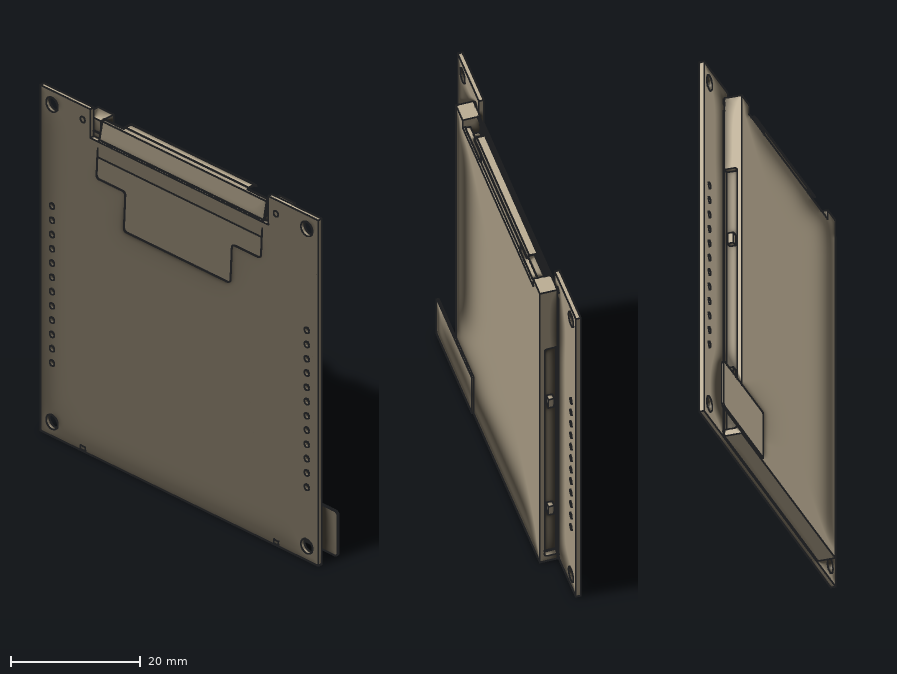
import cadquery as cq
import math


BOARD_WIDTH = 60.0
BOARD_HEIGHT = 61.5
BOARD_THICKNESS = 0.8
NOTCH_WIDTH = 38.4
NOTCH_DEPTH = 5.1
MOUNT_HOLE_DIAMETER = 2.5
MOUNT_HOLE_INSET = 2.5
PIN_HOLE_DIAMETER = 1.0
PIN_HOLE_COUNT = 12
PIN_HOLE_PITCH = 2.54
PIN_HOLE_INSET = 2.5
LOWEST_PIN_Z = 13.0
PEG_SPACING = 41.7
PEG_DIAMETER = 1.0
UPPER_PEG_Z = 59.0
LOWER_PEG_HEIGHT = 0.65
LOWER_PEG_Z = 0.55

ADHESIVE_THICKNESS = 0.2
ADHESIVE_TOP_Z = 57.3

HOUSING_WIDTH = 42.6
HOUSING_HEIGHT = 59.5
HOUSING_INNER_Y = BOARD_THICKNESS + ADHESIVE_THICKNESS
HOUSING_OUTER_Y = 3.85
TOP_GAP_WIDTH = 35.8
BEZEL_THICKNESS = 0.4
BEZEL_TOP_Z = 57.9
SIDE_WALL = 1.0
SIDE_OPENING_BOTTOM_Z = 1.1
SIDE_OPENING_TOP_Z = 46.9
SIDE_OPENING_OUTER_Y = 3.1
SIDE_OPENING_RADIUS = 0.5

PANEL_OUTER_Y = HOUSING_OUTER_Y - BEZEL_THICKNESS
PANEL_WIDTH = HOUSING_WIDTH - 2 * SIDE_WALL
PANEL_BOTTOM_Z = 1.35
PANEL_TOP_Z = 56.0
LEDGE_WIDTH = 33.4
LEDGE_INNER_Y = 1.45
LEDGE_TOP_Z = 57.3
GLASS_INNER_Y = 2.6
GLASS_TOP_Z = 57.7
LATCH_Y = 2.0
LATCH_THICKNESS = 0.95
LATCH_HEIGHT = 1.8
LATCH_ZS = (11.0, 34.7)

FLEX_THICKNESS = 0.12
FLEX_WIDTH = 35.5
FLEX_TAIL_WIDTH = 23.0
FLEX_STRIP_WIDTH = 26.7
FLEX_TONGUE_WIDTH = 20.0
FLEX_TIP_Y = -0.54
FLEX_TIP_Z = 43.1
FLEX_SHOULDER_Z = 49.9
FLEX_CORNER_RADIUS = 0.6
FLEX_BEND_Y = 0.04
FLEX_BEND_Z = 54.4
FLEX_RIM_Y = 1.1
FLEX_RIM_Z = 59.5
FLEX_WIDE_TOP_Z = 59.75
FLEX_CREST_FRONT_Y = 1.65
FLEX_CREST_REAR_Y = 3.05
FLEX_CREST_Z = 60.0
FLEX_DROP_Y = 3.45
FLEX_DROP_Z = 59.5

FILM_THICKNESS = 0.3
FILM_LEFT_X = 12.3
FILM_RIGHT_X = 30.36
FILM_BOTTOM_Z = 0.2
FILM_TOP_Z = 8.1
FILM_CORNER_RADIUS = 0.6


def block(width, start_y, end_y, bottom_z, top_z, center_x=0.0):
    """A plain block centred on center_x, between two Y planes and two Z planes."""
    size = (width, end_y - start_y, top_z - bottom_z)
    position = (center_x, start_y, bottom_z)
    return cq.Workplane("XY").box(*size, centered=(True, False, False)).translate(position)


def rod_along_y(x, z, diameter, start_y, end_y):
    """A round rod along Y."""
    start = cq.Vector(x, start_y, z)
    direction = cq.Vector(0, 1, 0)
    return cq.Workplane(cq.Solid.makeCylinder(diameter / 2, end_y - start_y, start, direction))


def make_pegs():
    """Four locating pegs: round ones near the top, flat ones at the bottom."""
    pegs = []
    for x in (-PEG_SPACING / 2, PEG_SPACING / 2):
        pegs.append(rod_along_y(x, UPPER_PEG_Z, PEG_DIAMETER, 0, HOUSING_INNER_Y))
        lower_bottom = LOWER_PEG_Z - LOWER_PEG_HEIGHT / 2
        lower_top = LOWER_PEG_Z + LOWER_PEG_HEIGHT / 2
        pegs.append(block(PEG_DIAMETER, 0, HOUSING_INNER_Y, lower_bottom, lower_top, x))
    return pegs


def outline_of_flex():
    """The flat outline of the flexible circuit, seen along Y, as a block that covers its whole depth."""
    right_half = [
        (FLEX_TAIL_WIDTH / 2, FLEX_TIP_Z),
        (FLEX_TAIL_WIDTH / 2, FLEX_SHOULDER_Z),
        (FLEX_WIDTH / 2, FLEX_SHOULDER_Z),
        (FLEX_WIDTH / 2, FLEX_WIDE_TOP_Z),
        (FLEX_STRIP_WIDTH / 2, FLEX_WIDE_TOP_Z),
        (FLEX_STRIP_WIDTH / 2, FLEX_CREST_Z),
    ]
    left_half = [(-x, z) for x, z in reversed(right_half)]
    rear_plane = cq.Workplane("XZ", origin=(0, FLEX_CREST_REAR_Y, 0))
    outline = rear_plane.polyline(right_half + left_half).close().extrude(FLEX_CREST_REAR_Y - FLEX_TIP_Y)
    lower_corners = cq.selectors.BoxSelector(
        (-FLEX_WIDTH, FLEX_TIP_Y, FLEX_TIP_Z - FLEX_CORNER_RADIUS),
        (FLEX_WIDTH, FLEX_CREST_REAR_Y, FLEX_SHOULDER_Z + FLEX_CORNER_RADIUS),
    )
    return outline.edges("|Y").edges(lower_corners).fillet(FLEX_CORNER_RADIUS)


def thickened(path, thickness):
    """A closed band: the path and its copy shifted to the right of its direction, with mitred corners."""
    normals = []
    for (y0, z0), (y1, z1) in zip(path, path[1:]):
        length = math.hypot(y1 - y0, z1 - z0)
        normals.append(((z1 - z0) / length, (y0 - y1) / length))
    shifted = []
    for (y, z), before, after in zip(path, normals[:1] + normals, normals + normals[-1:]):
        mitre = thickness / (1 + before[0] * after[0] + before[1] * after[1])
        shifted.append((y + mitre * (before[0] + after[0]), z + mitre * (before[1] + after[1])))
    return path + shifted[::-1]


def make_flex():
    """The folded flexible circuit: tail on the front, lean through the notch, crest and drop to the glass."""
    path = [
        (FLEX_TIP_Y, FLEX_TIP_Z),
        (FLEX_BEND_Y, FLEX_BEND_Z),
        (FLEX_RIM_Y, FLEX_RIM_Z),
        (FLEX_CREST_FRONT_Y, FLEX_CREST_Z),
        (FLEX_CREST_REAR_Y, FLEX_CREST_Z),
        (FLEX_DROP_Y, FLEX_DROP_Z),
        (FLEX_DROP_Y, GLASS_TOP_Z),
    ]
    profile = cq.Workplane("YZ").polyline(thickened(path, FLEX_THICKNESS)).close()
    sheet = profile.extrude(FLEX_WIDTH / 2, both=True)
    front_part = sheet.intersect(outline_of_flex())
    rear_slope = block(FLEX_STRIP_WIDTH, FLEX_CREST_REAR_Y, PANEL_OUTER_Y, FLEX_DROP_Z, FLEX_CREST_Z)
    tongue = block(FLEX_TONGUE_WIDTH, FLEX_CREST_REAR_Y, PANEL_OUTER_Y, GLASS_TOP_Z, FLEX_DROP_Z)
    return front_part.union(rear_slope.union(tongue).intersect(sheet))


def make_board(flex, pegs):
    """The circuit board, with its notch and holes, and a slit where the flexible circuit passes."""
    half_width = BOARD_WIDTH / 2
    board = block(BOARD_WIDTH, 0, BOARD_THICKNESS, 0, BOARD_HEIGHT)
    board = board.cut(block(NOTCH_WIDTH, 0, BOARD_THICKNESS, BOARD_HEIGHT - NOTCH_DEPTH, BOARD_HEIGHT))
    mount_x = half_width - MOUNT_HOLE_INSET
    pin_x = half_width - PIN_HOLE_INSET
    for side in (-1, 1):
        for z in (MOUNT_HOLE_INSET, BOARD_HEIGHT - MOUNT_HOLE_INSET):
            board = board.cut(rod_along_y(side * mount_x, z, MOUNT_HOLE_DIAMETER, 0, BOARD_THICKNESS))
        for i in range(PIN_HOLE_COUNT):
            z = LOWEST_PIN_Z + i * PIN_HOLE_PITCH
            board = board.cut(rod_along_y(side * pin_x, z, PIN_HOLE_DIAMETER, 0, BOARD_THICKNESS))
    for peg in pegs:
        board = board.cut(peg)
    return board.cut(flex)


def make_adhesive(pegs):
    """The adhesive layer, open where the flexible circuit passes and pierced by the pegs."""
    adhesive = block(HOUSING_WIDTH, BOARD_THICKNESS, HOUSING_INNER_Y, 0, ADHESIVE_TOP_Z)
    flex_gap = block(TOP_GAP_WIDTH, BOARD_THICKNESS, HOUSING_INNER_Y, PANEL_TOP_Z, ADHESIVE_TOP_Z)
    adhesive = adhesive.cut(flex_gap)
    for peg in pegs:
        adhesive = adhesive.cut(peg)
    return adhesive


def make_panel():
    """The display panel: a body, a narrower ledge and glass that stand up between the housing's posts."""
    panel = block(PANEL_WIDTH, HOUSING_INNER_Y, PANEL_OUTER_Y, PANEL_BOTTOM_Z, PANEL_TOP_Z)
    panel = panel.union(block(LEDGE_WIDTH, LEDGE_INNER_Y, GLASS_INNER_Y, PANEL_TOP_Z, LEDGE_TOP_Z))
    panel = panel.union(block(TOP_GAP_WIDTH, GLASS_INNER_Y, PANEL_OUTER_Y, PANEL_TOP_Z, GLASS_TOP_Z))
    for side in (-1, 1):
        latch_x = side * (PANEL_WIDTH + SIDE_WALL) / 2
        for z in LATCH_ZS:
            latch = block(SIDE_WALL, LATCH_Y - LATCH_THICKNESS / 2, LATCH_Y + LATCH_THICKNESS / 2,
                          z - LATCH_HEIGHT / 2, z + LATCH_HEIGHT / 2, latch_x)
            panel = panel.union(latch)
    return panel


def make_housing(panel, pegs):
    """The housing: a frame with an outer bezel, two top posts, side openings and locating pegs."""
    housing = block(HOUSING_WIDTH, HOUSING_INNER_Y, HOUSING_OUTER_Y, 0, HOUSING_HEIGHT)
    rear_gap = block(TOP_GAP_WIDTH, HOUSING_INNER_Y, PANEL_OUTER_Y, PANEL_TOP_Z, HOUSING_HEIGHT)
    bezel_gap = block(TOP_GAP_WIDTH, PANEL_OUTER_Y, HOUSING_OUTER_Y, BEZEL_TOP_Z, HOUSING_HEIGHT)
    housing = housing.cut(rear_gap).cut(bezel_gap)
    opening_x = (PANEL_WIDTH + SIDE_WALL) / 2
    for side in (-1, 1):
        opening = block(SIDE_WALL, HOUSING_INNER_Y, SIDE_OPENING_OUTER_Y,
                        SIDE_OPENING_BOTTOM_Z, SIDE_OPENING_TOP_Z, side * opening_x)
        housing = housing.cut(opening.edges("|X and >Y").fillet(SIDE_OPENING_RADIUS))
    for peg in pegs:
        housing = housing.union(peg)
    return housing.cut(panel)


def make_film():
    """The pull tab of the protective film, on the housing's outer (+Y) face and past the board's side."""
    width = FILM_RIGHT_X - FILM_LEFT_X
    center_x = (FILM_RIGHT_X + FILM_LEFT_X) / 2
    outer_y = HOUSING_OUTER_Y + FILM_THICKNESS
    film = block(width, HOUSING_OUTER_Y, outer_y, FILM_BOTTOM_Z, FILM_TOP_Z, center_x)
    return film.edges("|Y and >X").fillet(FILM_CORNER_RADIUS)


pegs = make_pegs()
flex = make_flex()
board = make_board(flex, pegs)
adhesive = make_adhesive(pegs)
panel = make_panel()
housing = make_housing(panel, pegs)
film = make_film()

result = cq.Compound.makeCompound(
    [board.val(), adhesive.val(), housing.val(), panel.val(), flex.val(), film.val()]
)